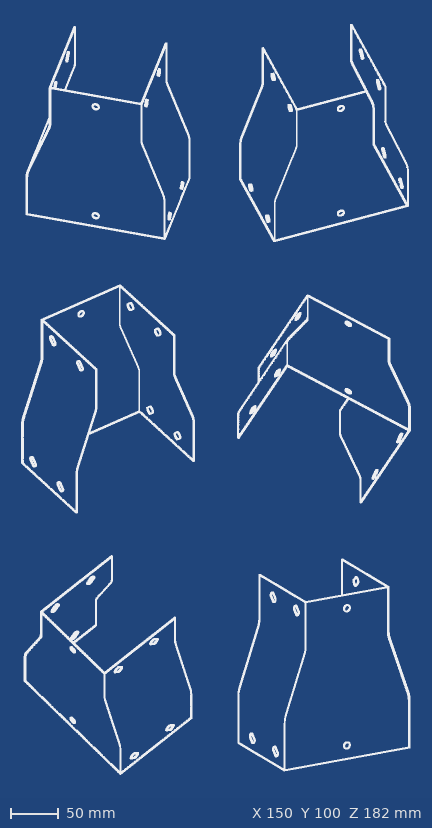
import cadquery as cq
import math

height = 182.0
depth = 100.0
bottom_width = 150.0
top_width = 100.0
sheet = 1.0

lower_bend_radius = 31.0
upper_bend_radius = 20.0
lower_bend_start = 51.7
upper_bend_end = 132.0

hole_diameter = 7.0
lower_hole_height = 15.0
upper_hole_height = 166.9
slot_width = 7.0
slot_end_diameter = 10.5
slot_tilt = 45.0
slot_spacing = 50.0
front_slot_offset = 20.0
left_rear_slot_drop = 0.7

bend_radius_sum = lower_bend_radius + upper_bend_radius
width_step = (bottom_width - top_width) / 2
bend_zone_height = upper_bend_end - lower_bend_start
center_distance = math.hypot(bend_zone_height, bend_radius_sum - width_step)
center_line_angle = math.atan2(bend_zone_height, bend_radius_sum - width_step)
slope_angle = center_line_angle - math.acos(bend_radius_sum / center_distance)


def point_on_arc(center, radius, angle):
    """Point in the XZ plane at an angle measured upward from +X."""
    return (center[0] + radius * math.cos(angle), center[1] + radius * math.sin(angle))


def channel_body(inset):
    """Tapered solid with its side and front faces moved inward by inset."""
    lower_center = (bottom_width / 2 - lower_bend_radius, lower_bend_start)
    upper_center = (top_width / 2 + upper_bend_radius, upper_bend_end)
    lower_radius = lower_bend_radius - inset
    upper_radius = upper_bend_radius + inset

    right_half = (
        cq.Workplane("XZ", origin=(0, inset, 0))
        .lineTo(bottom_width / 2 - inset, 0)
        .lineTo(bottom_width / 2 - inset, lower_bend_start)
        .threePointArc(
            point_on_arc(lower_center, lower_radius, slope_angle / 2),
            point_on_arc(lower_center, lower_radius, slope_angle),
        )
        .lineTo(*point_on_arc(upper_center, upper_radius, math.pi + slope_angle))
        .threePointArc(
            point_on_arc(upper_center, upper_radius, math.pi + slope_angle / 2),
            point_on_arc(upper_center, upper_radius, math.pi),
        )
        .lineTo(top_width / 2 - inset, height)
        .lineTo(0, height)
        .close()
        .extrude(-depth)
    )
    return right_half.union(right_half.mirror("YZ"))


def front_holes():
    """Round holes through the front plate, on the centre line."""
    return (
        cq.Workplane("XZ")
        .pushPoints([(0, lower_hole_height), (0, upper_hole_height)])
        .circle(hole_diameter / 2)
        .extrude(-2 * sheet)
    )


def slot_cutter(side, y, z):
    """Tilted slot whose rounded ends lie on one circle, cut from the middle to one side."""
    plane = cq.Plane(origin=(0, y, z), xDir=(0, 1, 0), normal=(1, 0, 0))
    reach = side * bottom_width
    straight_sides = (
        cq.Workplane(plane)
        .transformed(rotate=(0, 0, -side * slot_tilt))
        .rect(slot_end_diameter, slot_width)
        .extrude(reach)
    )
    rounded_ends = cq.Workplane(plane).circle(slot_end_diameter / 2).extrude(reach)
    return straight_sides.intersect(rounded_ends)


result = channel_body(0).cut(channel_body(sheet)).cut(front_holes())

for side, rear_drop in ((-1, left_rear_slot_drop), (1, 0)):
    for hole_height in (lower_hole_height, upper_hole_height):
        result = result.cut(slot_cutter(side, front_slot_offset, hole_height))
        rear_slot_y = front_slot_offset + slot_spacing
        result = result.cut(slot_cutter(side, rear_slot_y, hole_height - rear_drop))